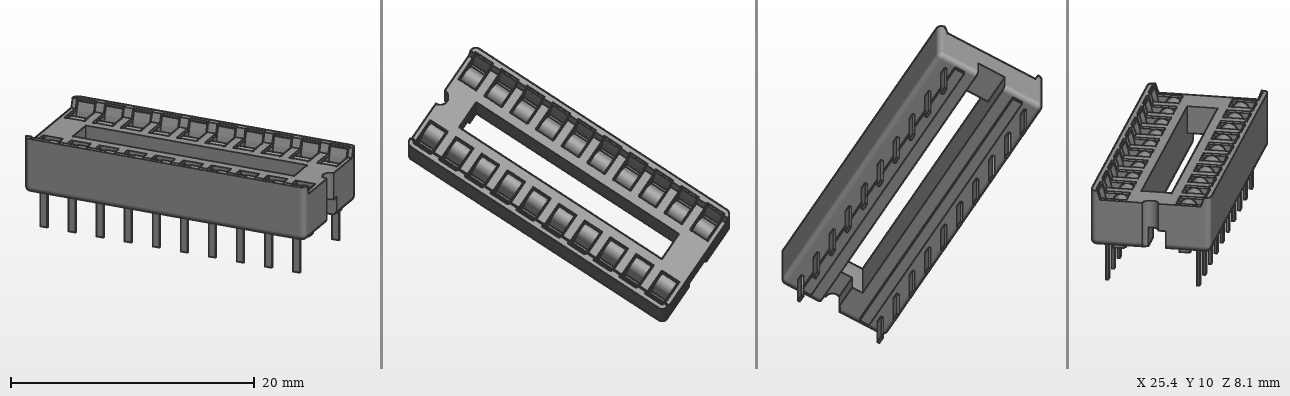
import cadquery as cq
import math

length = 25.4
width = 10.0
height = 8.1

rail_bottom_z = 3.02
body_bottom_z = 3.33
deck_z = 7.32
edge_radius = 0.48

wall_top_y = 4.45
wall_foot_y = 4.2

pins_per_row = 10
pitch = 2.55
row_spacing = 7.62
pin_width = 0.6
pin_thickness = 0.2

window_length = 20.02
window_width = 2.55
end_opening_top_z = 4.95
far_opening_start_y = -0.28
marker_radius = 0.65

rail_width = 0.9
rail_center_y = 2.77

pocket_width = 1.52
pocket_inner_y = 2.08
pocket_floor_y = 4.0

relief_depth = 0.13
relief_flare = 0.115
relief_foot_y = 4.2
relief_ledge_depth = 0.18
relief_back_y = 4.6

contact_radius = 0.7
contact_depth = 0.13
contact_slope_angle = math.radians(60)
contact_foot_y = 3.78

row_x = [pitch * (i - (pins_per_row - 1) / 2) for i in range(pins_per_row)]


def box(x_range, y_range, z_range):
    """Axis-aligned block between the given limits."""
    (x0, x1), (y0, y1), (z0, z1) = x_range, y_range, z_range
    return cq.Workplane("XY").box(x1 - x0, y1 - y0, z1 - z0, centered=False).translate((x0, y0, z0))


def make_housing():
    """Rounded block with a trough along the top that leaves the two side walls."""
    block = cq.Workplane("XY").workplane(offset=body_bottom_z).rect(length, width)
    block = block.extrude(height - body_bottom_z)
    block = block.edges("|Z").fillet(edge_radius).faces("<Z").edges().fillet(edge_radius)
    trough = (
        cq.Workplane("YZ")
        .polyline([
            (-wall_top_y, height),
            (-wall_foot_y, deck_z),
            (wall_foot_y, deck_z),
            (wall_top_y, height),
        ])
        .close()
        .extrude(length / 2, both=True)
    )
    return block.cut(trough)


def make_openings():
    """Central window, the low opening under each end wall and the round orientation notch."""
    half_length, half_window = length / 2, window_width / 2
    low_z = (body_bottom_z, end_opening_top_z)
    window = box(
        (-window_length / 2, window_length / 2),
        (-half_window, half_window),
        (body_bottom_z, deck_z),
    )
    near_opening = box((-half_length, 0), (-half_window, half_window), low_z)
    far_opening = box((0, half_length), (far_opening_start_y, half_window), low_z)
    marker = cq.Workplane("XY").center(half_length, 0).circle(marker_radius).extrude(height)
    return window.union(near_opening).union(far_opening).union(marker)


def relief_section(surface_point, bottom_point):
    """Closed trapezoid across the pocket between two (y, z) points, widest at the surface."""
    half_bottom = pocket_width / 2
    half_top = half_bottom + relief_flare
    corners = [
        (-half_top, *surface_point),
        (half_top, *surface_point),
        (half_bottom, *bottom_point),
        (-half_bottom, *bottom_point),
    ]
    return cq.Wire.makePolygon([cq.Vector(*corner) for corner in corners], close=True)


def make_relief():
    """Relief at X = 0 in the +Y row: along the deck, up the wall slope and into the wall top."""
    bottom_z = deck_z - relief_depth
    ledge_z = height - relief_ledge_depth
    wall_slope = (wall_top_y - wall_foot_y) / (height - deck_z)
    ledge_y = relief_foot_y + (ledge_z - bottom_z) * wall_slope
    sections = [
        relief_section((pocket_inner_y, deck_z), (pocket_inner_y, bottom_z)),
        relief_section((wall_foot_y, deck_z), (relief_foot_y, bottom_z)),
        relief_section((wall_top_y, height), (ledge_y, ledge_z)),
        relief_section((relief_back_y, height), (relief_back_y, ledge_z)),
    ]
    return cq.Workplane(cq.Solid.makeLoft(sections, True))


def make_pocket():
    """Pocket at X = 0 in the +Y row; its floor follows the rounded contact."""
    crown_y = pocket_inner_y + contact_radius
    crown_z = deck_z - contact_depth
    center_z = crown_z - contact_radius
    tangent_y = crown_y + contact_radius * math.sin(contact_slope_angle)
    tangent_z = center_z + contact_radius * math.cos(contact_slope_angle)
    floor_z = tangent_z - (contact_foot_y - tangent_y) * math.tan(contact_slope_angle)
    well = (
        cq.Workplane("YZ")
        .moveTo(pocket_inner_y, deck_z)
        .lineTo(relief_foot_y, deck_z)
        .lineTo(relief_foot_y, deck_z - relief_depth)
        .lineTo(pocket_floor_y, floor_z)
        .lineTo(contact_foot_y, floor_z)
        .lineTo(tangent_y, tangent_z)
        .threePointArc((crown_y, crown_z), (pocket_inner_y, center_z))
        .close()
        .extrude(pocket_width / 2, both=True)
    )
    return make_relief().union(well)


def make_pin():
    """Flat pin at X = 0 in the +Y row, reaching from its tip to the housing."""
    return (
        cq.Workplane("XY")
        .center(0, row_spacing / 2)
        .rect(pin_width, pin_thickness)
        .extrude(body_bottom_z)
    )


def make_rail():
    """Standoff rail under the +Y row, as long as the flat part of the underside."""
    return (
        cq.Workplane("XY")
        .workplane(offset=rail_bottom_z)
        .center(0, rail_center_y)
        .rect(length - 2 * edge_radius, rail_width)
        .extrude(body_bottom_z - rail_bottom_z)
    )


def in_both_rows(feature):
    """The feature of the +Y row and its mirror image in the -Y row."""
    return [feature, feature.mirror("XZ")]


result = make_housing().cut(make_openings())

for pocket in in_both_rows(make_pocket()):
    for x in row_x:
        result = result.cut(pocket.translate((x, 0, 0)))

for rail in in_both_rows(make_rail()):
    result = result.union(rail)

for pin in in_both_rows(make_pin()):
    for x in row_x:
        result = result.union(pin.translate((x, 0, 0)))